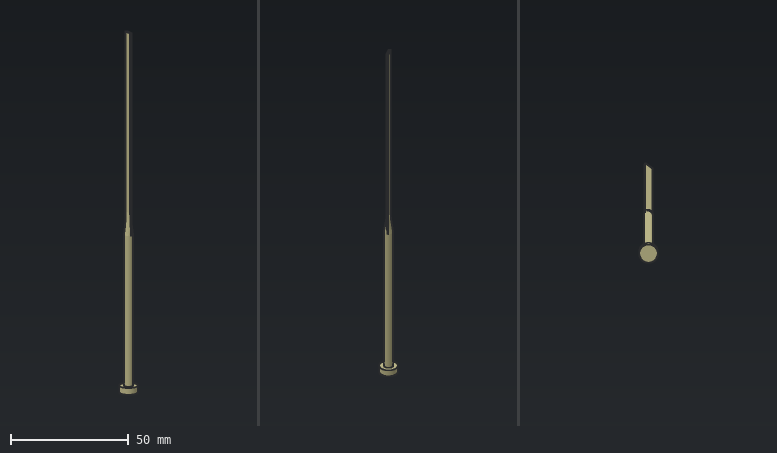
import cadquery as cq

total_length = 160.0
head_height = 3.0
shank_top = 70.0
blade_start = 80.0

head_diameter = 8.0
shank_diameter = 4.0
blade_width = 3.8
blade_thickness = 0.8


def round_section(diameter, bottom, top):
    """Solid cylinder on the Z axis between two heights."""
    return cq.Workplane("XY").workplane(offset=bottom).circle(diameter / 2).extrude(top - bottom)


def flat_blade():
    """Thin rectangular blade, wide along X."""
    base = cq.Workplane("XY").workplane(offset=blade_start)
    return base.rect(blade_width, blade_thickness).extrude(total_length - blade_start)


def transition():
    """Taper blending the round shank into the flat blade."""
    return (
        cq.Workplane("XY")
        .workplane(offset=shank_top)
        .circle(shank_diameter / 2)
        .workplane(offset=blade_start - shank_top)
        .rect(blade_width, blade_thickness)
        .loft(combine=True)
    )


head = round_section(head_diameter, 0, head_height)
shank = round_section(shank_diameter, head_height, shank_top)

result = head.union(shank).union(transition()).union(flat_blade())